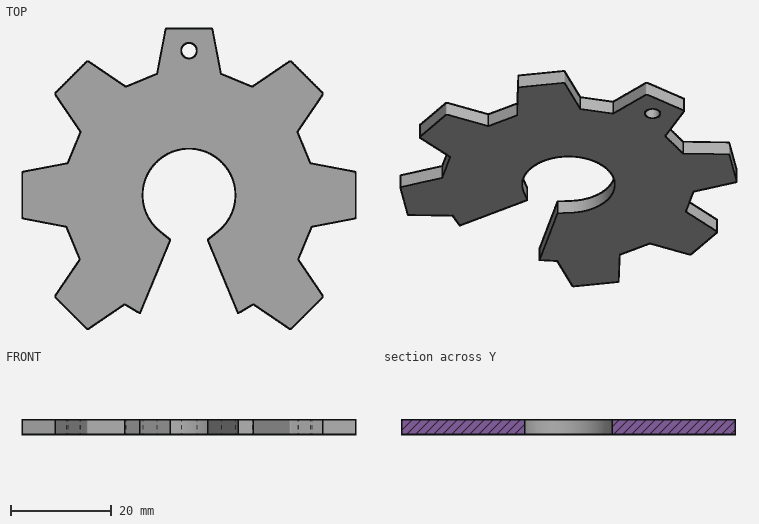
import cadquery as cq
import math

thickness = 3.0
tooth_count = 8
tooth_pitch = 360 / tooth_count
tip_distance = 33.15
tip_half_width = 4.65
upper_root_distance = 24.15
lower_root_distance = 24.4
upper_root_half_width = 6.35
flank_slope = (upper_root_half_width - tip_half_width) / (tip_distance - upper_root_distance)
tip_corner_radius = 0.3

bore_radius = 9.2
slot_half_angle = tooth_pitch / 2
slot_mouth_radius = 25.5
lip_radius = 9.6

hole_diameter = 3.05
hole_distance = 28.7

slot_direction = -90.0
right_wall_angle = slot_direction + slot_half_angle
left_wall_angle = slot_direction - slot_half_angle + 360


def polar(radius, angle):
    """Point at a radius and an angle in degrees from +X."""
    return (radius * math.cos(math.radians(angle)), radius * math.sin(math.radians(angle)))


def tooth_point(along, across, angle):
    """Point placed along and across a tooth that points at the given angle."""
    return polar(math.hypot(along, across), angle + math.degrees(math.atan2(across, along)))


def root_point(angle, side):
    """Foot of one tooth flank; side is -1 for the clockwise flank and 1 for the other."""
    valley_angle = angle + side * tooth_pitch / 2
    is_lower = math.sin(math.radians(valley_angle)) < 0
    distance = lower_root_distance if is_lower else upper_root_distance
    half_width = tip_half_width + flank_slope * (tip_distance - distance)
    return tooth_point(distance, side * half_width, angle)


def tooth_outline(angle):
    """Root, two tip corners and root of one tooth, counterclockwise."""
    return [
        root_point(angle, -1),
        tooth_point(tip_distance, -tip_half_width, angle),
        tooth_point(tip_distance, tip_half_width, angle),
        root_point(angle, 1),
    ]


lip_sweep = math.degrees(math.acos(bore_radius / lip_radius))
bore_top = polar(bore_radius, slot_direction + 180)

teeth = [
    point
    for position in range(1, tooth_count)
    for point in tooth_outline(slot_direction + position * tooth_pitch)
]

plate = (
    cq.Workplane("XY")
    .polyline([
        polar(lip_radius, right_wall_angle),
        polar(slot_mouth_radius, right_wall_angle),
        *teeth,
        polar(slot_mouth_radius, left_wall_angle),
        polar(lip_radius, left_wall_angle),
        polar(bore_radius, left_wall_angle - lip_sweep),
    ])
    .threePointArc(bore_top, polar(bore_radius, right_wall_angle + lip_sweep))
    .close()
    .extrude(thickness)
)

tip_corners = plate.edges("|Z").filter(
    lambda edge: math.hypot(edge.Center().x, edge.Center().y) > tip_distance
)
plate = plate.newObject(tip_corners.vals()).fillet(tip_corner_radius)

hanging_hole = cq.Workplane("XY").center(0, hole_distance).circle(hole_diameter / 2).extrude(thickness)
result = plate.cut(hanging_hole)